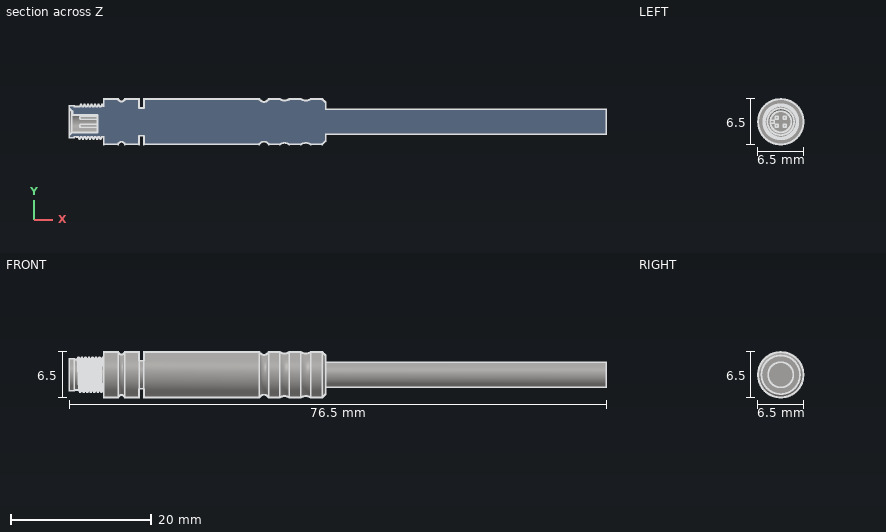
import cadquery as cq

total_length = 76.5
body_start = 4.9
body_end = 36.55

body_radius = 3.25
cable_radius = 1.8
tip_radius = 2.3

thread_major_radius = 2.5
thread_pitch = 0.5
thread_depth = 0.3
thread_root_radius = thread_major_radius - thread_depth
thread_start = 1.1
thread_end = body_start
core_embed = 1.0
thread_flank_width = 0.9 * thread_pitch
thread_crest_width = 0.12 * thread_pitch
thread_overlap = 0.1
tip_step = 0.75

bore_radius = 1.5
bore_depth = 4.0
bore_chamfer = 0.4

key_width = 0.4
key_inner_radius = 0.95
key_length = 3.5

pin_radius = 0.23
pin_offset = 0.575
pin_length = 2.5

gap_start = 9.95
gap_end = 10.65
gap_radius = 2.0

nut_groove = (7.0, 7.9, 0.35)
grip_grooves = [
    (27.1, 28.4, 0.4),
    (30.0, 31.35, 0.2),
    (33.0, 34.4, 0.2),
]

rear_chamfer = 0.5


def cylinder_along_x(start, end, radius):
    """Solid cylinder about the X axis between two stations."""
    return cq.Workplane("YZ").workplane(offset=start).circle(radius).extrude(end - start)


def make_tip():
    """Stepped cylinder that carries the thread."""
    collar = cylinder_along_x(0, tip_step, tip_radius)
    core = cylinder_along_x(tip_step, body_start + core_embed, thread_root_radius)
    return collar.union(core)


def make_thread():
    """Helical ridge wound about the X axis."""
    base_radius = thread_root_radius - thread_overlap
    first_turn = thread_start + thread_flank_width / 2
    helix_height = thread_end - first_turn
    path = cq.Wire.makeHelix(
        thread_pitch, helix_height, base_radius, center=cq.Vector(first_turn, 0, 0), dir=cq.Vector(1, 0, 0)
    )
    start_point = path.startPoint()
    radial = cq.Vector(0, start_point.y, start_point.z).normalized()
    tangent = cq.Vector(1, 0, 0).cross(radial)
    profile_plane = cq.Plane(origin=start_point, xDir=radial, normal=tangent)
    ridge_height = thread_major_radius - base_radius
    profile = cq.Workplane(profile_plane).polyline(
        [
            (0, -thread_flank_width / 2),
            (ridge_height, -thread_crest_width / 2),
            (ridge_height, thread_crest_width / 2),
            (0, thread_flank_width / 2),
        ]
    ).close()
    return profile.sweep(cq.Workplane(path), isFrenet=True)


def add_arc_groove(profile, groove):
    """Continue an outline along the body surface and through one arc-shaped groove."""
    start, end, depth = groove
    bottom = ((start + end) / 2, body_radius - depth)
    return profile.lineTo(start, body_radius).threePointArc(bottom, (end, body_radius))


def make_body():
    """Coupling nut and grip as one turned profile, followed by the cable."""
    profile = cq.Workplane("XY").moveTo(body_start, 0).lineTo(body_start, body_radius)
    profile = add_arc_groove(profile, nut_groove)
    profile = (
        profile.lineTo(gap_start, body_radius)
        .lineTo(gap_start, gap_radius)
        .lineTo(gap_end, gap_radius)
        .lineTo(gap_end, body_radius)
    )
    for groove in grip_grooves:
        profile = add_arc_groove(profile, groove)
    profile = (
        profile.lineTo(body_end - rear_chamfer, body_radius)
        .lineTo(body_end, body_radius - rear_chamfer)
        .lineTo(body_end, cable_radius)
        .lineTo(total_length, cable_radius)
        .lineTo(total_length, 0)
        .close()
    )
    return profile.revolve(360, (0, 0, 0), (1, 0, 0))


def make_bore():
    """Blind bore with a conical lead-in at the mouth."""
    mouth_radius = bore_radius + bore_chamfer
    return (
        cq.Workplane("XY")
        .polyline(
            [
                (0, 0),
                (0, mouth_radius),
                (bore_chamfer, bore_radius),
                (bore_depth, bore_radius),
                (bore_depth, 0),
            ]
        )
        .close()
        .revolve(360, (0, 0, 0), (1, 0, 0))
    )


def make_key():
    """Coding rib on the bore wall, rooted midway into the wall."""
    key_outer_radius = (bore_radius + thread_root_radius) / 2
    key_height = key_outer_radius - key_inner_radius
    key = cq.Workplane("XY").box(key_length, key_height, key_width, centered=(False, False, True))
    return key.translate((bore_depth - key_length, key_inner_radius, 0))


def make_pins():
    """Four round-nosed contacts in a square pattern."""
    pins = cq.Workplane("XY")
    pin_tip = bore_depth - pin_length
    for y_side in (-1, 1):
        for z_side in (-1, 1):
            centre = (0, y_side * pin_offset, z_side * pin_offset)
            shank = cylinder_along_x(pin_tip + pin_radius, body_start, pin_radius)
            nose = cq.Workplane("XY").sphere(pin_radius).translate((pin_tip + pin_radius, 0, 0))
            pins = pins.union(shank.union(nose).translate(centre))
    return pins


result = make_tip().union(make_thread()).union(make_body())
result = result.cut(make_bore()).union(make_key()).union(make_pins())